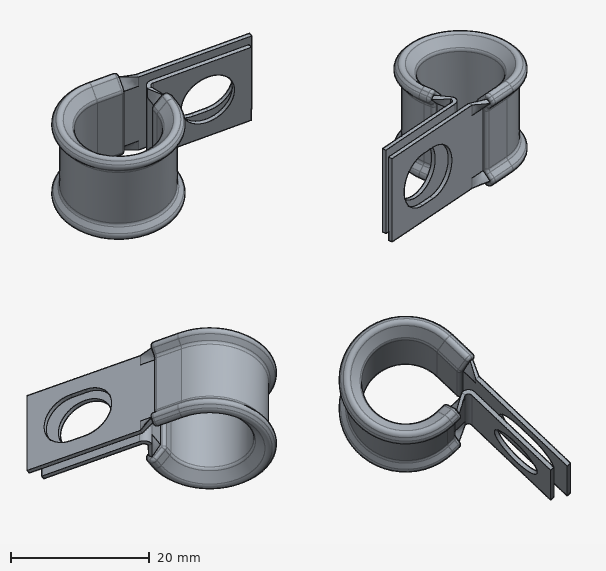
import cadquery as cq
import math

overall_length = 35.45
rim_radius = 9.65
ring_height = 15.65
bore_radius = 6.38
body_radius = 8.5
rim_thickness = 2.05
rim_round = 0.75
ring_sweep = 270
left_leg = 4.6
back_leg = 1.8
end_round = 0.5

strap_thickness = 0.67
strap_inner = 7.13
strap_outer = strap_inner + strap_thickness
strap_half_width = 7.1
left_tab_end = overall_length - rim_radius
back_tab_end = 24.55
back_tab_left = -5.67
bend_inner_radius = 0.67
bend_outer_radius = bend_inner_radius + strap_thickness

left_flare_length = 2.55
back_flare_length = -back_tab_left - bend_outer_radius - back_leg
flare_root = 5.3
flare_reach = 1.28
flare_edge = 0.53

bolt_y = 17.45
bolt_diameter = 8.72
slot_length = 11.1

diagonal = math.sqrt(0.5)


def wall_turn(radius, z):
    """Arc rounding the corner (radius, z) where a straight wall turns outward at 45 degrees."""
    half_turn = math.radians(45) / 2
    setback = rim_round * math.tan(half_turn)
    start = (radius, z - setback)
    middle = (
        radius + rim_round * (1 - math.cos(half_turn)),
        z - setback + rim_round * math.sin(half_turn),
    )
    end = (radius + setback * diagonal, z + setback * diagonal)
    return start, middle, end


def rim_arcs():
    """Arcs (start, middle, end) of the upper rim in (radius, Z), from the outer wall to the bore."""
    reach = rim_round * diagonal
    face_step = (rim_thickness - 2 * rim_round) * diagonal

    side_r = rim_radius - rim_round
    top_z = ring_height / 2 - rim_round
    side_z = top_z - face_step
    top_r = side_r - face_step

    side_round = (
        (side_r + reach, side_z - reach),
        (rim_radius, side_z),
        (side_r + reach, side_z + reach),
    )
    top_round = (
        (top_r + reach, top_z + reach),
        (top_r, ring_height / 2),
        (top_r - reach, top_z + reach),
    )

    flank_r, flank_z = side_round[0]
    neck = wall_turn(body_radius, flank_z - (flank_r - body_radius))
    flank_r, flank_z = top_round[-1]
    throat = wall_turn(bore_radius, flank_z - (flank_r - bore_radius))

    return [neck, side_round, top_round, throat[::-1]]


def ring_profile():
    """Radial section of the ring on the +X side."""
    upper = rim_arcs()
    lower = [[(r, -z) for r, z in arc[::-1]] for arc in upper[::-1]]
    profile = cq.Workplane("XZ").moveTo(*lower[-1][-1])
    for start, middle, end in upper + lower:
        profile = profile.lineTo(*start)
        profile = profile.threePointArc(middle, end)
    return profile.close()


def turned(shape, angle):
    """Shape turned about the ring axis, in degrees."""
    return shape.rotate((0, 0, 0), (0, 0, 1), angle)


def cushion_ring():
    """Ring with its two straight legs, whose free ends are rounded."""
    arc = turned(ring_profile().revolve(ring_sweep, (0, 0), (0, 1)), 180)
    left = turned(ring_profile().extrude(left_leg), 180)
    back = turned(ring_profile().extrude(-back_leg), 90)
    left = left.faces(">Y").edges().fillet(end_round)
    back = back.faces("<X").edges().fillet(end_round)
    return arc.union(left).union(back)


def strap_flare(leg, length, side):
    """Strap beside a ring end, on the +X side, running toward side * Y from the end face."""
    rect = [
        (strap_inner, flare_root),
        (strap_outer, flare_root),
        (strap_outer, strap_half_width),
        (strap_inner, strap_half_width),
    ]
    tip = (strap_outer + flare_reach, flare_root + flare_reach)
    twisted = rect[:2] + [tip, (tip[0] - flare_edge, tip[1] + flare_edge)]
    corner = (
        cq.Workplane("XZ", origin=(0, side * leg, 0))
        .polyline(twisted)
        .close()
        .workplane(offset=-side * length)
        .polyline(rect)
        .close()
        .loft(ruled=True)
    )
    middle = cq.Workplane("XY").box(
        strap_thickness, length, 2 * flare_root, centered=(False, True, True)
    )
    middle = middle.translate((strap_inner, side * (leg + length / 2), 0))
    return middle.union(corner).union(corner.mirror("XY"))


def left_tab():
    """Straight slotted tab on the -X side."""
    start = left_leg + left_flare_length
    tab = cq.Workplane("XY").box(
        strap_thickness, left_tab_end - start, 2 * strap_half_width, centered=(False, False, True)
    )
    tab = tab.translate((-strap_outer, start, 0))
    slot = (
        cq.Workplane("YZ", origin=(-strap_outer, bolt_y, 0))
        .slot2D(slot_length, bolt_diameter)
        .extrude(strap_thickness)
    )
    return tab.cut(slot).union(turned(strap_flare(left_leg, left_flare_length, -1), 180))


def back_tab():
    """Tab bent through a right angle from the flare into the +Y direction."""
    bend_x = back_tab_left + bend_outer_radius
    bend_y = strap_outer + bend_inner_radius
    tab_right = back_tab_left + strap_thickness
    outer_mid = (bend_x - bend_outer_radius * diagonal, bend_y - bend_outer_radius * diagonal)
    inner_mid = (bend_x - bend_inner_radius * diagonal, bend_y - bend_inner_radius * diagonal)
    tab = (
        cq.Workplane("XY", origin=(0, 0, -strap_half_width))
        .moveTo(bend_x, strap_inner)
        .threePointArc(outer_mid, (back_tab_left, bend_y))
        .lineTo(back_tab_left, back_tab_end)
        .lineTo(tab_right, back_tab_end)
        .lineTo(tab_right, bend_y)
        .threePointArc(inner_mid, (bend_x, strap_outer))
        .close()
        .extrude(2 * strap_half_width)
    )
    hole = (
        cq.Workplane("YZ", origin=(back_tab_left, bolt_y, 0))
        .circle(bolt_diameter / 2)
        .extrude(strap_thickness)
    )
    return tab.cut(hole).union(turned(strap_flare(back_leg, back_flare_length, 1), 90))


result = cushion_ring().union(left_tab()).union(back_tab())